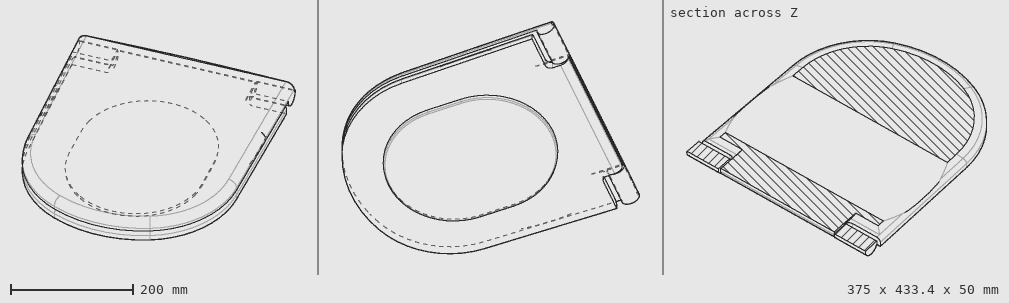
import cadquery as cq
import math

rear_y = 216.7
rear_width = 375.0
rear_half_width = rear_width / 2
nose_radius = 216.7
corner_radius = 160.5
corner_center_x = 21.5
corner_center_y = -math.sqrt((nose_radius - corner_radius) ** 2 - corner_center_x**2)

seat_bottom = 7.5
seat_edge_top = 24.3
lid_bottom = 27.0
lid_top = 50.0

dome_radius_across = 4768.0
dome_radius_along = 15171.0
dome_apex_y = 86.5
lid_edge_radius = 14.5
lid_rear_bottom_y = 215.0
lid_rear_top_y = 211.0
lid_rear_edge_radius = 2.0

lobe_radius = 15.5
lobe_y = rear_y - lobe_radius
lobe_z = 24.5
lobe_inner_x = 121.5

seat_rear_y = 177.0
seat_edge_radius = 7.5
crown_slope_width = 13.0
saddle_y = 56.5
saddle_half_length = 86.5
saddle_depth = 4.0

tongue_half_width = 119.0
tongue_rear_y = 213.3
tongue_rear_radius = 13.0
tongue_root_radius = 9.0

rim_half_width = 115.7
rim_rear_y = 138.5
rim_front_y = -151.5
rim_draft_angle = 8.0
rim_edge_radius = 2.0

SPAN = 867.0


def on_corner(angle):
    """Point on the right-hand corner arc, at an angle in radians below the +X direction."""
    return (
        corner_center_x + corner_radius * math.cos(angle),
        corner_center_y - corner_radius * math.sin(angle),
    )


def mirrored(point):
    """The same plan point on the opposite side of the part."""
    return (-point[0], point[1])


def plan_outline(back_y, level):
    """D-shaped plan outline with its straight rear edge at back_y, drawn at height level."""
    run_x = rear_half_width - corner_center_x
    run_y = rear_y - corner_center_y
    flare_angle = math.acos(corner_radius / math.hypot(run_x, run_y)) - math.atan2(run_y, run_x)
    nose_angle = math.atan2(-corner_center_y, corner_center_x)
    back_half_width = rear_half_width - (rear_y - back_y) * math.tan(flare_angle)

    corner_start = on_corner(flare_angle)
    corner_middle = on_corner((flare_angle + nose_angle) / 2)
    corner_end = on_corner(nose_angle)
    return (
        cq.Workplane("XY", origin=(0, 0, level))
        .moveTo(back_half_width, back_y)
        .lineTo(*corner_start)
        .threePointArc(corner_middle, corner_end)
        .threePointArc((0, -nose_radius), mirrored(corner_end))
        .threePointArc(mirrored(corner_middle), mirrored(corner_start))
        .lineTo(-back_half_width, back_y)
        .close()
    )


def dome():
    """Solid under the shallow double-curved top of the lid."""
    half_span = SPAN / 2
    sagitta = dome_radius_across - math.sqrt(dome_radius_across**2 - half_span**2)
    sweep_angle = 2 * math.degrees(math.asin(half_span / dome_radius_along))
    profile = (
        cq.Workplane("XZ", origin=(0, dome_apex_y, 0))
        .moveTo(-half_span, 0)
        .lineTo(-half_span, lid_top - sagitta)
        .threePointArc((0, lid_top), (half_span, lid_top - sagitta))
        .lineTo(half_span, 0)
        .close()
    )
    axis_z = lid_top - dome_radius_along
    solid = profile.revolve(sweep_angle, (-4.5, axis_z, 0), (4.5, axis_z, 0))
    return solid.rotate((-4.5, dome_apex_y, axis_z), (4.5, dome_apex_y, axis_z), -sweep_angle / 2)


def lid_rear_cutter():
    """Wedge that leans the rear face of the lid forward towards the top."""
    lean = (lid_rear_bottom_y - lid_rear_top_y) / (lid_top - lid_bottom)
    tip_z = 2 * lid_top
    tip_y = lid_rear_bottom_y - lean * (tip_z - lid_bottom)
    return (
        cq.Workplane("YZ")
        .moveTo(lid_rear_bottom_y, lid_bottom)
        .lineTo(tip_y, tip_z)
        .lineTo(SPAN, tip_z)
        .lineTo(SPAN, lid_bottom)
        .close()
        .extrude(SPAN / 2, both=True)
    )


def make_lobe(side):
    """Round-bottomed hinge lobe under one rear corner of the lid; side is -1 or 1."""
    length = rear_half_width - lobe_inner_x
    half_chord = math.sqrt(lobe_radius**2 - (lid_bottom - lobe_z) ** 2)
    lobe = (
        cq.Workplane("YZ", origin=(side * lobe_inner_x, 0, 0))
        .moveTo(lobe_y - half_chord, lid_bottom)
        .threePointArc((lobe_y, lobe_z - lobe_radius), (lobe_y + half_chord, lid_bottom))
        .close()
        .extrude(side * length)
    )
    return lobe.intersect(plan_outline(rear_y, 0).extrude(lid_bottom))


def make_lid():
    """Domed lid with rounded front and side edges and a hinge lobe under each rear corner."""
    blank = plan_outline(rear_y, lid_bottom).extrude(lid_top)
    lid = blank.intersect(dome()).cut(lid_rear_cutter())
    lid = lid.faces(">Z").edges("not >Y").fillet(lid_edge_radius)
    lid = lid.faces(">Z").edges(">Y").fillet(lid_rear_edge_radius)
    for side in (-1, 1):
        lid = lid.union(make_lobe(side))
    return lid


def seat_plate():
    """Flat D-shaped plate with its outer top edge rounded; the rear edge stays sharp."""
    plate = plan_outline(seat_rear_y, seat_bottom).extrude(seat_edge_top - seat_bottom)
    return plate.faces(">Z").edges("not >Y").fillet(seat_edge_radius)


def seat_crown():
    """Raised middle of the seat top, sloping in from the rounded edge up to the lid."""
    height = lid_bottom - seat_edge_top
    slope_angle = math.degrees(math.atan2(crown_slope_width, height))
    base = plan_outline(seat_rear_y, seat_edge_top).offset2D(-seat_edge_radius)
    return base.extrude(height, taper=slope_angle)


def saddle_cutter():
    """Large cylinder along X that dips the seat top below the lid between front and rear."""
    radius = (saddle_half_length**2 + saddle_depth**2) / (2 * saddle_depth)
    return (
        cq.Workplane("YZ")
        .center(saddle_y, lid_bottom - saddle_depth + radius)
        .circle(radius)
        .extrude(SPAN / 2, both=True)
    )


def tongue():
    """Hinge tongue behind the seat, rounded under its rear edge."""
    front_y = saddle_y + saddle_half_length
    length = tongue_rear_y - front_y
    return (
        cq.Workplane("XY", origin=(0, front_y, seat_bottom))
        .box(2 * tongue_half_width, length, lid_bottom - seat_bottom, centered=(True, False, False))
        .faces(">Y").edges("<Z").fillet(tongue_rear_radius)
    )


def tongue_root(side):
    """Concave fillet between the side of the tongue and the rear face of the seat."""
    corner_x = side * tongue_half_width
    height = seat_edge_top - seat_bottom
    block = (
        cq.Workplane("XY", origin=(corner_x, seat_rear_y, seat_bottom))
        .rect(side * tongue_root_radius, tongue_root_radius, centered=False)
        .extrude(height)
    )
    round_cutter = (
        cq.Workplane("XY", origin=(corner_x, seat_rear_y, seat_bottom))
        .center(side * tongue_root_radius, tongue_root_radius)
        .circle(tongue_root_radius)
        .extrude(height)
    )
    return block.cut(round_cutter)


def rim():
    """Long-round rim under the seat, tapering downwards to a rounded lower edge."""
    return (
        cq.Workplane("XY", origin=(0, (rim_rear_y + rim_front_y) / 2, seat_bottom))
        .slot2D(rim_rear_y - rim_front_y, 2 * rim_half_width, 90)
        .extrude(-seat_bottom, taper=rim_draft_angle)
        .faces("<Z").edges().fillet(rim_edge_radius)
    )


def make_seat():
    """Seat with a saddle-shaped top, a rim underneath and a hinge tongue at the rear."""
    seat = seat_plate().union(seat_crown()).cut(saddle_cutter()).union(tongue())
    for side in (-1, 1):
        seat = seat.union(tongue_root(side))
    return seat.union(rim())


lid = make_lid()
seat = make_seat()
result = cq.Compound.makeCompound([lid.solids().val(), seat.solids().val()])